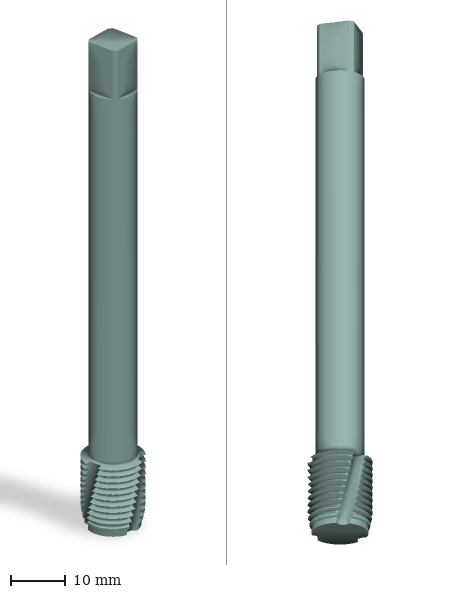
import cadquery as cq
import math

total_length = 100.0
head_length = 14.6
drive_length = 10.0
thread_diameter = 12.0
shank_diameter = 9.0
drive_width = 7.0
shank_radius = shank_diameter / 2

shoulder_height = 0.5

tooth_count = 11
teeth_per_ten_units = 8
pitch = 10 / teeth_per_ten_units
thread_depth = 0.8
flank_angle = 30.0
tip_radius = thread_diameter / 2
root_radius = tip_radius - thread_depth
flank_rise = thread_depth * math.tan(math.radians(flank_angle))
thread_length = (tooth_count - 1) * pitch
pilot_length = head_length - shoulder_height - flank_rise - thread_length

lead_length = 3.6

flute_count = 3
flute_radius = 1.4
flute_center_radius = 5.6
flute_floor_radius = flute_center_radius - flute_radius
flute_top_angle = -90.0
helix_angle = 15.0
flute_twist = math.degrees(head_length * math.tan(math.radians(helix_angle)) / tip_radius)

flute_end_drop = 0.5
flute_floor_height = head_length - flute_end_drop
flute_end_angle = 20.0
flute_end_slope = math.tan(math.radians(flute_end_angle))


def ringed_blank():
    """Head blank with V-shaped teeth and a conical shoulder, revolved about the Z axis."""
    outline = cq.Workplane("XZ").moveTo(0, 0).lineTo(root_radius, 0)
    for tooth in range(tooth_count):
        tooth_base = pilot_length + tooth * pitch
        outline = outline.lineTo(root_radius, tooth_base)
        outline = outline.lineTo(tip_radius, tooth_base + flank_rise)
        if tooth < tooth_count - 1:
            outline = outline.lineTo(root_radius, tooth_base + 2 * flank_rise)
    outline = outline.lineTo(shank_radius, head_length).lineTo(0, head_length).close()
    return outline.revolve(360, (0, 0, 0), (0, 1, 0))


def lead_envelope():
    """Cylinder with a conical lower end that bounds the tooth tips."""
    return (
        cq.Workplane("XZ")
        .moveTo(0, 0)
        .lineTo(root_radius, 0)
        .lineTo(tip_radius, lead_length)
        .lineTo(tip_radius, head_length)
        .lineTo(0, head_length)
        .close()
        .revolve(360, (0, 0, 0), (0, 1, 0))
    )


def flute_cutter(top_angle):
    """Round bar twisted about the Z axis that reaches top_angle at the top of the head."""
    bottom_angle = math.radians(top_angle - flute_twist)
    center_x = flute_center_radius * math.cos(bottom_angle)
    center_y = flute_center_radius * math.sin(bottom_angle)
    return (
        cq.Workplane("XY")
        .moveTo(center_x, center_y)
        .circle(flute_radius)
        .twistExtrude(head_length, flute_twist)
    )


def flute_envelope():
    """Space the flutes may occupy, closed above by the cone of their end wall."""
    outer_radius = 2 * tip_radius
    axis_height = flute_floor_height - flute_floor_radius * flute_end_slope
    outer_height = axis_height + outer_radius * flute_end_slope
    return (
        cq.Workplane("XZ")
        .moveTo(0, 0)
        .lineTo(outer_radius, 0)
        .lineTo(outer_radius, outer_height)
        .lineTo(0, axis_height)
        .close()
        .revolve(360, (0, 0, 0), (0, 1, 0))
    )


def make_head():
    """Threaded cutting head with a tapered lead and helical flutes."""
    head = ringed_blank().intersect(lead_envelope())
    envelope = flute_envelope()
    for flute in range(flute_count):
        top_angle = flute_top_angle + flute * 360 / flute_count
        head = head.cut(flute_cutter(top_angle).intersect(envelope))
    return head


def make_shank():
    """Round shank whose upper end is milled to a square drive."""
    drive_base = total_length - drive_length
    shank = (
        cq.Workplane("XY", origin=(0, 0, head_length))
        .circle(shank_radius)
        .extrude(total_length - head_length)
    )
    around_drive = (
        cq.Workplane("XY", origin=(0, 0, drive_base))
        .rect(2 * shank_diameter, 2 * shank_diameter)
        .rect(drive_width, drive_width)
        .extrude(drive_length)
    )
    return shank.cut(around_drive)


head = make_head()
shank = make_shank()

result = cq.Compound.makeCompound([head.solids().val(), shank.solids().val()])